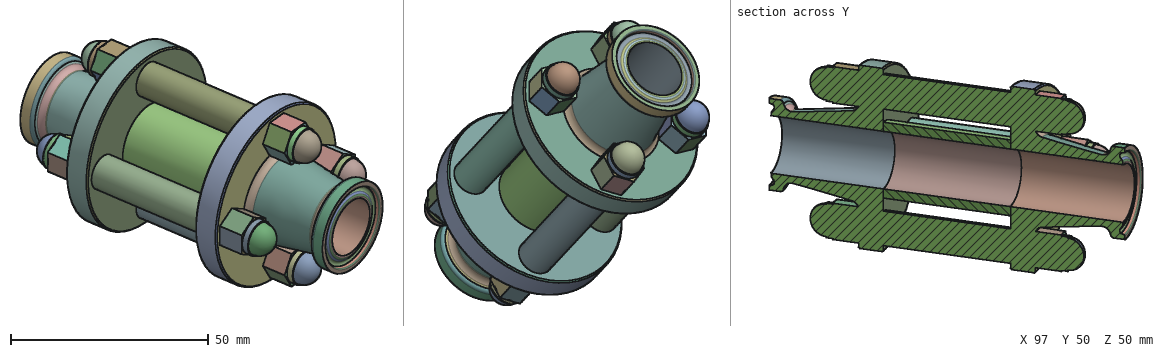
import cadquery as cq
import math

TOTAL_LENGTH = 97.0
MID_X = TOTAL_LENGTH / 2
BORE_RADIUS = 7.8

RIM_RADIUS = 12.5
RIM_LAND_LENGTH = 3.0
RIM_BACK_X = 4.0
RIM_BACK_RADIUS = 11.5
NECK_START_X = 4.3
NECK_START_RADIUS = 11.0
NECK_END_X = 6.0
NECK_RADIUS = 9.8

LIP_DEPTH = 0.5
LIP_RADIUS = 8.3
LIP_ROUND_RADIUS = 8.9
LIP_ROUND_DEPTH = 0.7
GROOVE_SIDE_DEPTH = 1.1
GROOVE_MID_RADIUS = 10.2
GROOVE_HALF_WIDTH = 0.7
GROOVE_INNER_RADIUS = GROOVE_MID_RADIUS - GROOVE_HALF_WIDTH
GROOVE_OUTER_RADIUS = GROOVE_MID_RADIUS + GROOVE_HALF_WIDTH
GROOVE_DEPTH = 1.4
LAND_RADIUS = 11.35
LAND_ROUND = 0.3

CONE_START_X = NECK_END_X + 0.3
CONE_END_X = 22.6
CONE_END_RADIUS = 12.3
CONE_ROOT_RADIUS = 13.9

FLANGE_RADIUS = 50.0 / 2
FLANGE_START_X = 24.3
FLANGE_THICKNESS = 6.9
FLANGE_CHAMFER = 0.4
FLANGE_END_X = FLANGE_START_X + FLANGE_THICKNESS

ROD_COUNT = 4
ROD_CIRCLE_RADIUS = 18.5
ROD_RADIUS = 4.8
NUT_ACROSS_FLATS = 10.0
NUT_HEX_LENGTH = 7.0
NUT_COLLAR_LENGTH = 1.7
NUT_DOME_RADIUS = 4.5

GLASS_RADIUS = 10.4
GAP_LENGTH = TOTAL_LENGTH - 2 * FLANGE_END_X


def yz_plane(x):
    """Plane square to the flow axis, facing +X."""
    return cq.Workplane("YZ", origin=(x, 0, 0))


def revolve_about_flow_axis(profile):
    return profile.close().revolve(360, (0, 0, 0), (1, 0, 0))


def end_fitting():
    """Ferrule, cone and flange of the -X end, in one revolved profile."""
    round_reach = LAND_ROUND * math.sin(math.pi / 4)
    profile = (
        cq.Workplane("XY")
        .moveTo(LIP_DEPTH, BORE_RADIUS)
        .lineTo(LIP_DEPTH, LIP_RADIUS)
        .tangentArcPoint((LIP_ROUND_DEPTH, LIP_ROUND_RADIUS), relative=False)
        .lineTo(GROOVE_SIDE_DEPTH, GROOVE_INNER_RADIUS)
        .threePointArc((GROOVE_DEPTH, GROOVE_MID_RADIUS), (GROOVE_SIDE_DEPTH, GROOVE_OUTER_RADIUS))
        .lineTo(LAND_ROUND, LAND_RADIUS - LAND_ROUND)
        .threePointArc((LAND_ROUND - round_reach, LAND_RADIUS - round_reach), (0, LAND_RADIUS))
        .lineTo(0, RIM_RADIUS)
        .lineTo(RIM_LAND_LENGTH, RIM_RADIUS)
        .tangentArcPoint((RIM_BACK_X, RIM_BACK_RADIUS), relative=False)
        .lineTo(NECK_START_X, NECK_START_RADIUS)
        .tangentArcPoint((NECK_END_X, NECK_RADIUS), relative=False)
        .lineTo(CONE_START_X, NECK_RADIUS)
        .lineTo(CONE_END_X, CONE_END_RADIUS)
        .tangentArcPoint((FLANGE_START_X, CONE_ROOT_RADIUS), relative=False)
        .lineTo(FLANGE_START_X, FLANGE_RADIUS - FLANGE_CHAMFER)
        .lineTo(FLANGE_START_X + FLANGE_CHAMFER, FLANGE_RADIUS)
        .lineTo(FLANGE_END_X - FLANGE_CHAMFER, FLANGE_RADIUS)
        .lineTo(FLANGE_END_X, FLANGE_RADIUS - FLANGE_CHAMFER)
        .lineTo(FLANGE_END_X, BORE_RADIUS)
    )
    return revolve_about_flow_axis(profile)


def domed_nut():
    """Cap nut on the -X flange at the +Y rod: hexagon, round collar and dome."""
    hex_start_x = FLANGE_START_X - NUT_HEX_LENGTH
    collar_start_x = hex_start_x - NUT_COLLAR_LENGTH
    across_corners = NUT_ACROSS_FLATS / math.cos(math.pi / 6)
    hexagon = (
        yz_plane(hex_start_x)
        .polygon(6, across_corners)
        .extrude(NUT_HEX_LENGTH)
        .rotate((0, 0, 0), (1, 0, 0), 30)
    )
    collar = yz_plane(collar_start_x).circle(ROD_RADIUS).extrude(NUT_COLLAR_LENGTH)
    dome = (
        cq.Workplane("XY")
        .moveTo(collar_start_x, 0)
        .lineTo(collar_start_x - NUT_DOME_RADIUS, 0)
        .radiusArc((collar_start_x, NUT_DOME_RADIUS), NUT_DOME_RADIUS)
    )
    nut = hexagon.union(collar).union(revolve_about_flow_axis(dome))
    return nut.translate((0, ROD_CIRCLE_RADIUS, 0))


def tie_rod():
    """Rod at +Y between the flanges, with a nut at each end."""
    rod = (
        yz_plane(FLANGE_END_X)
        .center(ROD_CIRCLE_RADIUS, 0)
        .circle(ROD_RADIUS)
        .extrude(GAP_LENGTH)
    )
    near_nut = domed_nut()
    far_nut = near_nut.mirror("YZ", (MID_X, 0, 0))
    return rod, near_nut, far_nut


def make_housing():
    """Both end fittings joined by the tie rods and nuts."""
    fitting = end_fitting()
    housing = fitting
    for index in range(ROD_COUNT):
        angle = index * 360 / ROD_COUNT
        for piece in tie_rod():
            housing = housing.union(piece.rotate((0, 0, 0), (1, 0, 0), angle))
    return housing.union(fitting.mirror("YZ", (MID_X, 0, 0)))


def make_glass_tube():
    """Plain tube between the inner flange faces, with the same bore as the fittings."""
    return yz_plane(FLANGE_END_X).circle(GLASS_RADIUS).circle(BORE_RADIUS).extrude(GAP_LENGTH)


housing = make_housing()
glass_tube = make_glass_tube()
result = cq.Compound.makeCompound([housing.val(), glass_tube.val()])